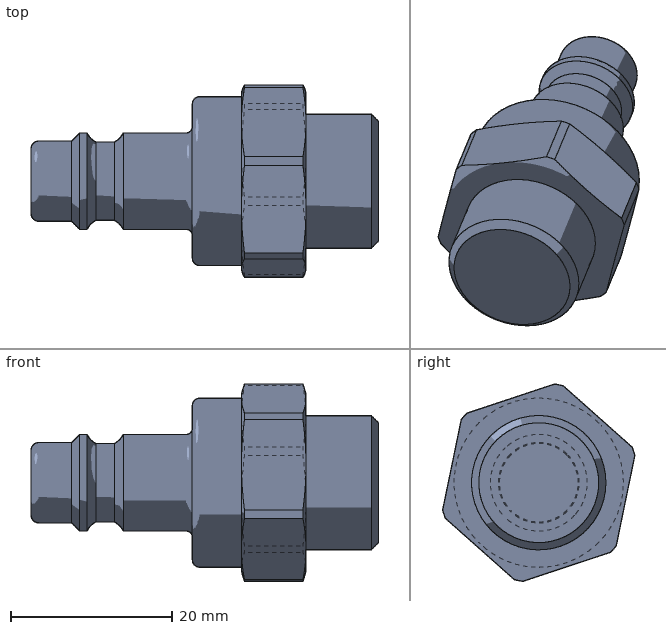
import cadquery as cq
import math

total_length = 43.1

nose_radius = 10.0 / 2
nose_rounding = 1.0
nose_length = 5.05

collar_radius = 12.0 / 2
collar_land = 0.9

groove_radius = 9.75 / 2
groove_flank_length = 1.1
groove_flank_arc = 2.5

shank_radius = 12.0 / 2
shank_start = 11.45
root_fillet = 0.75

flange_radius = 21.0 / 2
flange_start = 20.0
flange_rounding = 0.95

hex_start = 26.1
hex_end = 34.1
hex_across_flats = 22.0
hex_corner_radius = 12.4
hex_turn = 11.65
hex_chamfer_angle = 15.0

thread_radius = 16.66 / 2
thread_chamfer = 0.9


def revolve_about_x(profile):
    """Full turn of a closed XY profile about the X axis."""
    return profile.revolve(360, (0, 0, 0), (1, 0, 0))


def plug_and_flange():
    """Rounded nose, collar, groove, shank and flange as one revolved profile."""
    collar_start = nose_length + collar_radius - nose_radius
    collar_end = collar_start + collar_land
    groove_start = collar_end + groove_flank_length
    groove_end = shank_start - groove_flank_length

    profile = (
        cq.Workplane("XY")
        .lineTo(0, nose_radius - nose_rounding)
        .radiusArc((nose_rounding, nose_radius), nose_rounding)
        .lineTo(nose_length, nose_radius)
        .lineTo(collar_start, collar_radius)
        .lineTo(collar_end, collar_radius)
        .radiusArc((groove_start, groove_radius), -groove_flank_arc)
        .lineTo(groove_end, groove_radius)
        .radiusArc((shank_start, shank_radius), -groove_flank_arc)
        .lineTo(flange_start - root_fillet, shank_radius)
        .radiusArc((flange_start, shank_radius + root_fillet), -root_fillet)
        .lineTo(flange_start, flange_radius - flange_rounding)
        .radiusArc((flange_start + flange_rounding, flange_radius), flange_rounding)
        .lineTo(hex_start, flange_radius)
        .lineTo(hex_start, 0)
        .close()
    )
    return revolve_about_x(profile)


def hexagon():
    """Turned hexagon with rounded corners and both ends chamfered by cones."""
    face_radius = hex_across_flats / 2
    across_corners = hex_across_flats / math.cos(math.radians(30))
    prism = (
        cq.Workplane("YZ", origin=(hex_start, 0, 0))
        .polygon(6, across_corners)
        .extrude(hex_end - hex_start)
        .rotate((0, 0, 0), (1, 0, 0), 30 - hex_turn)
    )

    chamfer_depth = (hex_corner_radius - face_radius) * math.tan(math.radians(hex_chamfer_angle))
    envelope = (
        cq.Workplane("XY")
        .moveTo(hex_start, 0)
        .lineTo(hex_start, face_radius)
        .lineTo(hex_start + chamfer_depth, hex_corner_radius)
        .lineTo(hex_end - chamfer_depth, hex_corner_radius)
        .lineTo(hex_end, face_radius)
        .lineTo(hex_end, 0)
        .close()
    )
    return prism.intersect(revolve_about_x(envelope))


def threaded_end():
    """Plain cylinder at the thread size with a chamfered end."""
    return (
        cq.Workplane("YZ", origin=(hex_end, 0, 0))
        .circle(thread_radius)
        .extrude(total_length - hex_end)
        .faces(">X")
        .chamfer(thread_chamfer)
    )


result = plug_and_flange().union(hexagon()).union(threaded_end())